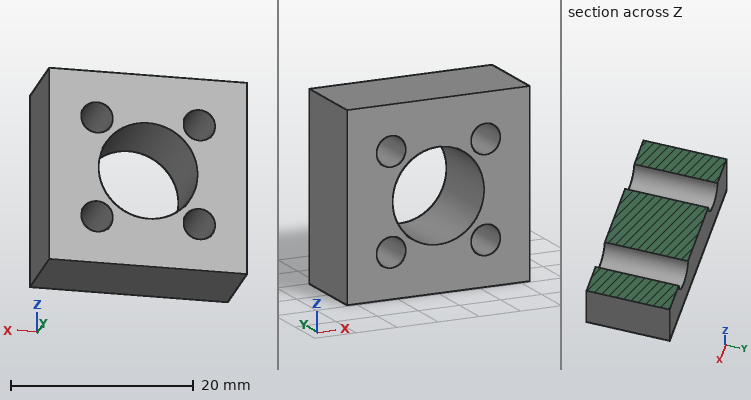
import cadquery as cq

side = 22.23
thickness = 9.54

bore_diameter = side / 2
hole_diameter = 3.55
hole_spacing = 11.5

block = cq.Workplane("XZ").rect(side, side).extrude(thickness / 2, both=True)

bored_block = block.faces("<Y").workplane(origin=(0, 0, 0)).hole(bore_diameter)

result = (
    bored_block.faces("<Y")
    .workplane(origin=(0, 0, 0))
    .rect(hole_spacing, hole_spacing, forConstruction=True)
    .vertices()
    .hole(hole_diameter)
)